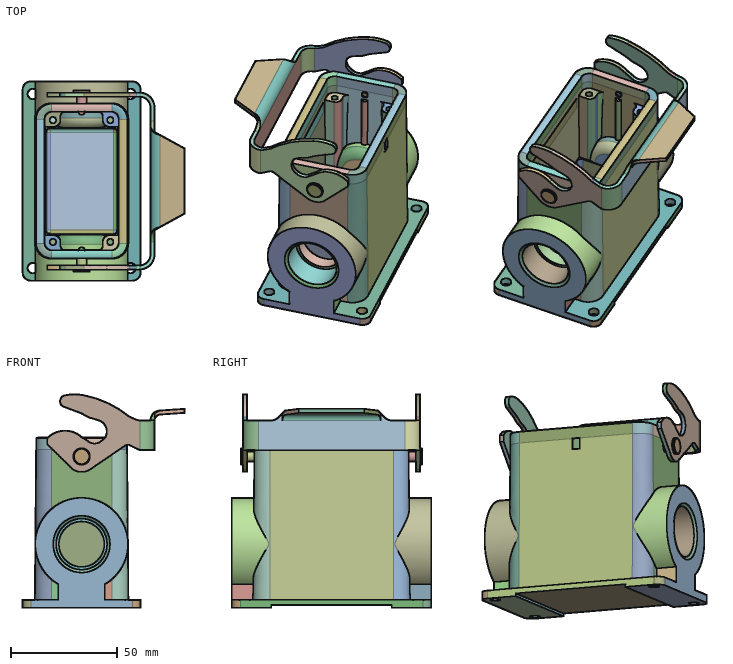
import cadquery as cq
import math

BASE_X, BASE_Y, BASE_Z = 55.7, 94.0, 3.8
BASE_CORNER_R = 4.0
SCREW_HOLE_D = 4.8
SCREW_HOLE_X, SCREW_HOLE_Y = 23.0, 41.0
RELIEF_Y, RELIEF_Z = 56.6, 1.3

WALL_TOP = 74.7
HOUSING_X, HOUSING_Y = 44.2, 74.0
HOUSING_CORNER_R = 7.8
DRAFT = 0.5
RIM_EDGE_Z, RIM_CREST_Z = 79.9, 80.4
OPENING_X, OPENING_Y = 35.0, 65.4
OPENING_CORNER_R = 3.7
CORE_DRAFT = 0.9
END_DRAFT = 0.5
CORE_CORNER_R = 2.5
FLOOR_Z = 5.0
FLOOR_FILLET = 1.7
NOTCH_Y, NOTCH_Z, NOTCH_DEPTH = 3.8, 5.2, 0.8

ENTRY_Z = 30.0
ENTRY_R = 21.85
PEDESTAL_X = 22.0
BORE_MOUTH_R, BORE_R, BORE_END_R = 13.4, 12.0, 10.7
MOUTH_DEPTH = 1.0
BORE_DEPTH = 13.2
BORE_END_Y = 27.5
ENTRY_BACK_Y = 25.2
ENTRY_BACK_R = 13.5
ENTRY_BACK_FILLET = 4.5

POST_TOP = 70.3
POST_INNER_X, POST_INNER_Y = 10.0, 25.6
POST_EDGE_R = 3.0
POST_ROOT_R = 2.3
POST_HOLE_X, POST_HOLE_Y = 13.5, 28.7
POST_HOLE_D, POST_HOLE_DEPTH = 3.0, 12.0
RIB_D, RIB_TOP = 3.0, 69.5
DIMPLE_D, DIMPLE_DEPTH, DIMPLE_Z = 3.0, 0.5, 72.3

PIVOT_Z = 71.3
PIN_D, PIN_HEAD_D = 4.8, 7.8
PIN_HEAD_END, PIN_HEAD_CHAMFER = 42.8, 0.3
SHEET = 2.0
LEVER_Y = 41.7
LEVER_PIVOT_R = 7.3
BAR_X = 34.4
BAR_BOTTOM, BAR_TOP = 74.3, 88.3
BEND_R = 7.1
TOTAL_X = 76.32
TAB_END_X = TOTAL_X - BASE_X / 2
TAB_ANGLE = 4.0
TAB_BEND_R = 4.7
TAB_ROOT_Y, TAB_TIP_Y = 21.8, 15.4
TAB_FOOT_Y, TAB_FLARE_Y, TAB_NECK_Y = 28.5, 26.4, 24.6
TAB_FLARE_RISE, TAB_NECK_RISE = 0.5, 1.9
TOP_Z = 100.64

NECK_LOW_OUTER, NECK_LOW_MIDDLE, NECK_LOW_INNER = (22.6, 76.6), (21.6, 76.8), (20.6, 76.5)
PIVOT_ARC_RIGHT, PIVOT_ARC_LEFT = (4.0, 65.2), (-4.3, 65.4)
HEEL_LOW, HEEL_HIGH = (-16.1, 77.0), (-16.1, 80.1)
HEEL_CREST, HEEL_END = (-8.0, 83.5), (0, 80.5)
SLOT_START, SLOT_BOTTOM, SLOT_RISE = (3.6, 78.1), (6.4, 77.4), (9.3, 78.6)
SLOT_BACK, SLOT_TOP = (11.8, 83.2), (8.0, 88.3)
HOOK_SHOULDER, HOOK_KNEE = (3.6, 89.6), (-0.4, 91.7)
TIP_LOW, TIP_NOSE, TIP_HIGH = (-8.7, 94.8), (-10.2, 97.4), (-8.0, 100.1)
HOOK_CREST, HOOK_CREST_END = (-3.5, TOP_Z), (1.0, 100.2)
BACK_MIDDLE, BACK_END = (13.0, 96.2), (22.5, 90.1)
NECK_HIGH = (25.7, 88.7)


def rounded_prism(size_x, size_y, radius, z0, z1, taper=0.0):
    """Vertical prism with a rounded rectangular outline, starting at z0."""
    outline = cq.Sketch().rect(size_x, size_y).vertices().fillet(radius)
    return cq.Workplane("XY", (0, 0, z0)).placeSketch(outline).extrude(z1 - z0, taper=taper)


def box(x0, x1, y0, y1, z0, z1):
    return cq.Workplane("XY").box(x1 - x0, y1 - y0, z1 - z0, centered=False).translate((x0, y0, z0))


def rod_y(radius, y0, y1, z):
    """Cylinder along Y at X = 0."""
    plane = cq.Plane((0, y0, z), xDir=(1, 0, 0), normal=(0, 1, 0))
    return cq.Workplane(plane).circle(radius).extrude(y1 - y0)


def both_ends(shape):
    """The shape together with its mirror image about the XZ plane."""
    return shape.union(shape.mirror("XZ"))


def base_plate():
    plate = rounded_prism(BASE_X, BASE_Y, BASE_CORNER_R, 0, BASE_Z)
    plate = plate.cut(box(-BASE_X, BASE_X, -RELIEF_Y / 2, RELIEF_Y / 2, 0, RELIEF_Z))
    holes = cq.Workplane("XY").rect(2 * SCREW_HOLE_X, 2 * SCREW_HOLE_Y, forConstruction=True)
    return plate.cut(holes.vertices().circle(SCREW_HOLE_D / 2).extrude(BASE_Z))


def wall_inset(height):
    """How far a drafted wall moves inward over a height."""
    return height * math.tan(math.radians(DRAFT))


def rim():
    """Straight rim ring around the opening and the dome swept along its top."""
    inset = wall_inset(WALL_TOP - BASE_Z)
    outer_x = HOUSING_X - 2 * inset
    outer_y = HOUSING_Y - 2 * inset
    ring = rounded_prism(outer_x, outer_y, HOUSING_CORNER_R - inset, WALL_TOP, RIM_EDGE_Z)
    half_width = (outer_x - OPENING_X) / 4
    path_x = outer_x / 2 - half_width
    path_y = outer_y / 2 - half_width
    path_r = HOUSING_CORNER_R - inset - half_width
    path = (
        cq.Workplane("XY", (0, 0, RIM_EDGE_Z))
        .moveTo(path_x, 0)
        .lineTo(path_x, path_y - path_r)
        .radiusArc((path_x - path_r, path_y), -path_r)
        .lineTo(path_r - path_x, path_y)
        .radiusArc((-path_x, path_y - path_r), -path_r)
        .lineTo(-path_x, path_r - path_y)
        .radiusArc((path_r - path_x, -path_y), -path_r)
        .lineTo(path_x - path_r, -path_y)
        .radiusArc((path_x, path_r - path_y), -path_r)
        .close()
    )
    dome = (
        cq.Workplane("XZ", (path_x, 0, RIM_EDGE_Z))
        .moveTo(-half_width, 0)
        .threePointArc((0, RIM_CREST_Z - RIM_EDGE_Z), (half_width, 0))
        .close()
        .sweep(path)
    )
    return ring, dome


def housing():
    """Shell with its cable entries, still solid inside."""
    shell = rounded_prism(HOUSING_X, HOUSING_Y, HOUSING_CORNER_R, BASE_Z, WALL_TOP, DRAFT)
    entries = rod_y(ENTRY_R, -BASE_Y / 2, BASE_Y / 2, ENTRY_Z)
    pedestal = box(-PEDESTAL_X / 2, PEDESTAL_X / 2, -BASE_Y / 2, BASE_Y / 2, BASE_Z, ENTRY_Z)
    return shell.union(entries).union(pedestal)


def corner_post(side):
    """Post in the corner at +Y, on the +X (side=1) or -X (side=-1) wall."""
    post = box(POST_INNER_X, OPENING_X / 2, POST_INNER_Y, OPENING_Y / 2, FLOOR_Z, POST_TOP)
    post = post.edges("|Z and <X and <Y").fillet(POST_EDGE_R)
    root_x = POST_INNER_X - POST_ROOT_R
    root_y = OPENING_Y / 2 - POST_ROOT_R
    root = box(root_x, POST_INNER_X, root_y, OPENING_Y / 2, FLOOR_Z, POST_TOP)
    root_hollow = cq.Workplane("XY", (root_x, root_y, FLOOR_Z)).circle(POST_ROOT_R)
    post = post.union(root.cut(root_hollow.extrude(POST_TOP - FLOOR_Z)))
    hole = cq.Workplane("XY", (POST_HOLE_X, POST_HOLE_Y, POST_TOP - POST_HOLE_DEPTH))
    post = post.cut(hole.circle(POST_HOLE_D / 2).extrude(POST_HOLE_DEPTH))
    return post if side > 0 else post.mirror("YZ")


def fittings():
    """Posts, ribs and the backs of the cable entries, in both ends of the cavity."""
    back = rod_y(ENTRY_BACK_R, ENTRY_BACK_Y, OPENING_Y / 2, ENTRY_Z)
    back = back.faces("<Y").edges("%CIRCLE").fillet(ENTRY_BACK_FILLET)
    rib = cq.Workplane("XY", (0, OPENING_Y / 2, FLOOR_Z)).circle(RIB_D / 2).extrude(RIB_TOP - FLOOR_Z)
    return both_ends(back.union(rib).union(corner_post(1)).union(corner_post(-1)))


def tapered_space(size_y, radius, bottom, top, draft):
    """Drafted space that narrows downward from top to bottom."""
    space = rounded_prism(OPENING_X, size_y, radius, -top, -bottom, draft)
    return space.mirror("XY")


def cavity():
    """Inside space: a deep core between two shallower ends that hold the fittings."""
    core = tapered_space(2 * POST_INNER_Y, CORE_CORNER_R, FLOOR_Z, POST_TOP, CORE_DRAFT)
    core = core.faces("<Z").edges().fillet(FLOOR_FILLET)
    ends = tapered_space(OPENING_Y, OPENING_CORNER_R, ENTRY_Z, WALL_TOP, END_DRAFT)
    mouth = rounded_prism(OPENING_X, OPENING_Y, OPENING_CORNER_R, WALL_TOP, RIM_CREST_Z)
    return core.union(ends.cut(fittings())).union(mouth)


def entry_bores():
    """Stepped blind bores with a tapered mouth."""
    face_y = BASE_Y / 2
    plane = cq.Plane((0, face_y, ENTRY_Z), xDir=(1, 0, 0), normal=(0, -1, 0))
    mouth = (
        cq.Workplane(plane).circle(BORE_MOUTH_R)
        .workplane(offset=MOUTH_DEPTH).circle(BORE_R).loft()
    )
    bore = rod_y(BORE_R, face_y - BORE_DEPTH, face_y, ENTRY_Z)
    end = rod_y(BORE_END_R, BORE_END_Y, face_y, ENTRY_Z)
    return both_ends(mouth.union(bore).union(end))


def small_recesses():
    """Notch below the rim on the -X wall and dimples in the end walls."""
    outer_x = HOUSING_X / 2 - wall_inset(WALL_TOP - BASE_Z)
    notch_bottom = WALL_TOP - NOTCH_Z
    notch = box(-HOUSING_X, NOTCH_DEPTH - outer_x, -NOTCH_Y / 2, NOTCH_Y / 2, notch_bottom, WALL_TOP)
    wall_y = OPENING_Y / 2
    dimple = rod_y(DIMPLE_D / 2, wall_y - DIMPLE_DEPTH, wall_y + DIMPLE_DEPTH, DIMPLE_Z)
    return notch.union(both_ends(dimple))


def side_plate():
    """Hooked side plate of the lever at +Y, up to the start of the corner bend."""
    bend_x = BAR_X - BEND_R
    plane = cq.Plane((0, LEVER_Y, 0), xDir=(1, 0, 0), normal=(0, -1, 0))
    return (
        cq.Workplane(plane)
        .moveTo(bend_x, BAR_BOTTOM)
        .lineTo(*NECK_LOW_OUTER)
        .threePointArc(NECK_LOW_MIDDLE, NECK_LOW_INNER)
        .lineTo(*PIVOT_ARC_RIGHT)
        .threePointArc((0, PIVOT_Z - LEVER_PIVOT_R), PIVOT_ARC_LEFT)
        .lineTo(*HEEL_LOW)
        .lineTo(*HEEL_HIGH)
        .threePointArc(HEEL_CREST, HEEL_END)
        .lineTo(*SLOT_START)
        .threePointArc(SLOT_BOTTOM, SLOT_RISE)
        .threePointArc(SLOT_BACK, SLOT_TOP)
        .lineTo(*HOOK_SHOULDER)
        .lineTo(*HOOK_KNEE)
        .lineTo(*TIP_LOW)
        .threePointArc(TIP_NOSE, TIP_HIGH)
        .threePointArc(HOOK_CREST, HOOK_CREST_END)
        .threePointArc(BACK_MIDDLE, BACK_END)
        .lineTo(*NECK_HIGH)
        .lineTo(bend_x, BAR_TOP)
        .close()
        .extrude(SHEET)
    )


def cross_bar():
    """Bar that joins the side plates, with its two bent corners."""
    bend_x = BAR_X - BEND_R
    ring = rounded_prism(2 * BAR_X, 2 * LEVER_Y, BEND_R, BAR_BOTTOM, BAR_TOP)
    hollow = rounded_prism(
        2 * (BAR_X - SHEET), 2 * (LEVER_Y - SHEET), BEND_R - SHEET, BAR_BOTTOM, BAR_TOP
    )
    return ring.cut(hollow).intersect(box(bend_x, BAR_X, -LEVER_Y, LEVER_Y, BAR_BOTTOM, BAR_TOP))


def handle_tab():
    """Tab that rises from the bar, bends outward and narrows toward its end."""
    angle = math.radians(TAB_ANGLE)
    inner_r = TAB_BEND_R - SHEET
    centre_x = BAR_X - SHEET + TAB_BEND_R

    def on_bend(radius, turn):
        return centre_x - radius * math.cos(turn), BAR_TOP + radius * math.sin(turn)

    turn = math.pi / 2 - angle
    top_x, top_z = on_bend(TAB_BEND_R, turn)
    low_x, low_z = on_bend(inner_r, turn)
    slope = math.tan(angle)
    sheet = (
        cq.Workplane("XZ")
        .moveTo(BAR_X - SHEET, BAR_TOP)
        .threePointArc(on_bend(TAB_BEND_R, turn / 2), (top_x, top_z))
        .lineTo(TAB_END_X, top_z + slope * (TAB_END_X - top_x))
        .lineTo(TAB_END_X, low_z + slope * (TAB_END_X - low_x))
        .lineTo(low_x, low_z)
        .threePointArc(on_bend(inner_r, turn / 2), (BAR_X, BAR_TOP))
        .close()
        .extrude(TAB_FOOT_Y, both=True)
    )
    flare_z = BAR_TOP + TAB_FLARE_RISE
    neck_z = BAR_TOP + TAB_NECK_RISE
    front_outline = (
        cq.Workplane("YZ", (BAR_X - SHEET, 0, 0))
        .moveTo(-TAB_FOOT_Y, BAR_TOP)
        .threePointArc((-TAB_FLARE_Y, flare_z), (-TAB_NECK_Y, neck_z))
        .lineTo(-TAB_ROOT_Y, top_z)
        .lineTo(-TAB_ROOT_Y, TOP_Z)
        .lineTo(TAB_ROOT_Y, TOP_Z)
        .lineTo(TAB_ROOT_Y, top_z)
        .lineTo(TAB_NECK_Y, neck_z)
        .threePointArc((TAB_FLARE_Y, flare_z), (TAB_FOOT_Y, BAR_TOP))
        .close()
        .extrude(TAB_END_X)
    )
    side_slope = (TAB_ROOT_Y - TAB_TIP_Y) / (TAB_END_X - top_x)
    shoulder_y = TAB_ROOT_Y + side_slope * (top_x - BAR_X)
    plan_outline = (
        cq.Workplane("XY", (0, 0, BAR_TOP))
        .moveTo(0, -TAB_FOOT_Y)
        .lineTo(BAR_X, -TAB_FOOT_Y)
        .lineTo(BAR_X, -shoulder_y)
        .lineTo(TAB_END_X, -TAB_TIP_Y)
        .lineTo(TAB_END_X, TAB_TIP_Y)
        .lineTo(BAR_X, shoulder_y)
        .lineTo(BAR_X, TAB_FOOT_Y)
        .lineTo(0, TAB_FOOT_Y)
        .close()
        .extrude(TOP_Z - BAR_TOP)
    )
    return sheet.intersect(front_outline).intersect(plan_outline)


def pivot_pin():
    """Pin from the end wall through the side plate, with a flat head outside."""
    shank = rod_y(PIN_D / 2, OPENING_Y / 2 + DIMPLE_DEPTH, LEVER_Y, PIVOT_Z)
    head = rod_y(PIN_HEAD_D / 2, LEVER_Y, PIN_HEAD_END, PIVOT_Z)
    return shank.union(head.faces(">Y").chamfer(PIN_HEAD_CHAMFER))


rim_ring, rim_dome = rim()
body = base_plate().union(housing()).union(rim_ring).union(rim_dome)
body = body.cut(cavity()).cut(entry_bores())
lever = both_ends(side_plate().union(pivot_pin())).union(cross_bar()).union(handle_tab())
result = body.union(lever).cut(small_recesses())